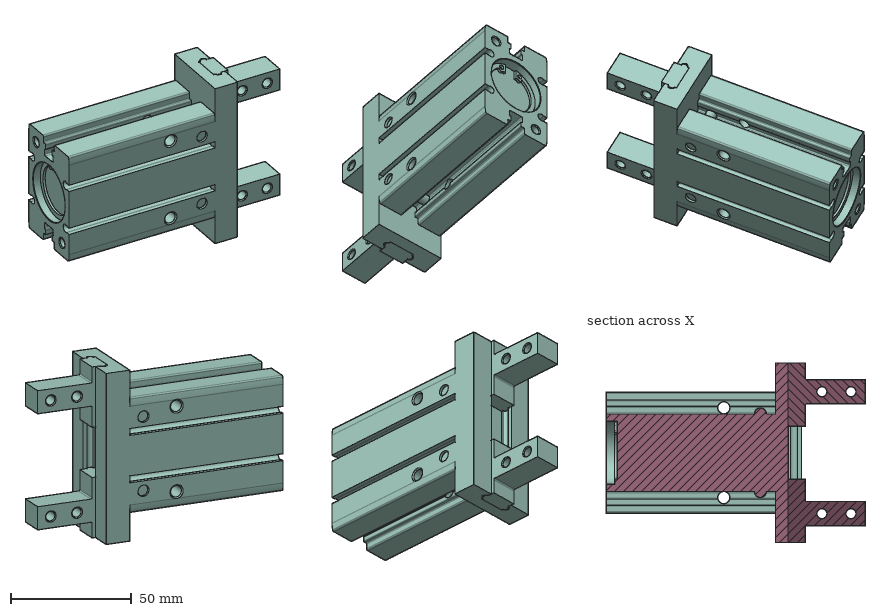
import cadquery as cq
import math


WIDTH = 33.0
BODY_HEIGHT = 50.3
BODY_LENGTH = 70.3
CORNER_RADIUS = 0.8
FLANK_HALF_HEIGHT = 21.5
FLANK_RELIEF = 0.5

PLATE_HEIGHT = 74.6
PLATE_THICKNESS = 10.9
PLATE_EDGE_CHAMFER = 0.2
PLATE_FRONT = BODY_LENGTH + PLATE_THICKNESS

SLOT_MOUTH_WIDTH = 8.7
SLOT_NECK_WIDTH = 5.3
SLOT_INNER_WIDTH = 6.9
SLOT_FLOOR_Z = 16.1
SLOT_INNER_TOP_Z = 19.2
SLOT_NECK_TOP_Z = 21.9
SLOT_MOUTH_FILLET = 0.6
SLOT_FLOOR_FILLET = 0.5
SLOT_STEP_FILLET = 0.3

GROOVE_DIAMETER = 3.7
GROOVE_OPENING = 3.0
GROOVE_FILLET = 0.2
GROOVE_X = 13.6
GROOVE_Z = 10.3

BORE_DIAMETER = 26.0
BORE_CHAMFER = 0.2
RING_DEPTH = 3.5
RING_THICKNESS = 1.1
RING_INNER_DIAMETER = 21.7
RING_GAP = 5.4
EAR_BOTTOM_Z = 8.3
EAR_TIP_START_X = 3.9
EAR_TIP = (5.0, 7.6)
EAR_TIP_END = (5.9, 8.9)
EAR_OUTER_CORNER = (7.0, 10.2)
EAR_TOP_Z = 12.4
EAR_HOLE_DIAMETER = 2.0
EAR_HOLE_X = 4.7
EAR_HOLE_Z = 10.2

REAR_HOLE_DIAMETER = 4.1
REAR_HOLE_MOUTH = 5.0
REAR_HOLE_DEPTH = 10.8
REAR_HOLE_X = 10.5
REAR_HOLE_Z = 19.0

MOUNT_HOLE_DIAMETER = 5.0
MOUNT_HOLE_MOUTH = 6.0
MOUNT_HOLE_Y = 48.9
MOUNT_HOLE_Z = 18.6

PIN_DIAMETER = 5.0
PIN_Y = 64.0
PIN_Z = 16.1
PIN_RECESS = 1.2

FINGER_WIDTH = 12.1
FINGER_BASE_LENGTH = 26.4
FINGER_HEIGHT = 10.1
FINGER_TIP_Y = 107.6
FINGER_Z = 25.3
SHOULDER_Y = 82.7
SHOULDER_FILLET = 0.5
SLOT_BASE_Y = 75.7
RAIL_Y = 77.9
RAIL_RADIUS = 1.5
RAIL_X = 5.5
RACE_RADIUS = 1.5
FINGER_HOLE_DIAMETER = 4.1
FINGER_HOLE_MOUTH = 5.0
FINGER_HOLE_YS = (89.6, 101.6)


def box(x_range, y_range, z_range):
    """Box between the given limits."""
    size = [high - low for low, high in (x_range, y_range, z_range)]
    corner = (x_range[0], y_range[0], z_range[0])
    return cq.Workplane("XY").box(*size, centered=False).translate(corner)


def cylinder_y(diameter, start_y, length, x=0, z=0):
    """Cylinder along +Y."""
    solid = cq.Solid.makeCylinder(diameter / 2, length, cq.Vector(x, start_y, z), cq.Vector(0, 1, 0))
    return cq.Workplane(solid)


def cylinder_x(diameter, length, y, z):
    """Cylinder along X, centred on X = 0."""
    start = cq.Vector(-length / 2, y, z)
    return cq.Workplane(cq.Solid.makeCylinder(diameter / 2, length, start, cq.Vector(1, 0, 0)))


def cone(start_diameter, end_diameter, length, start, direction):
    """Cone from `start` along `direction`."""
    radii = (start_diameter / 2, end_diameter / 2)
    return cq.Workplane(cq.Solid.makeCone(*radii, length, cq.Vector(*start), cq.Vector(*direction)))


def cross_hole(diameter, mouth, width, y, z):
    """Through hole along X with a 45 degree chamfer at both ends."""
    depth = (mouth - diameter) / 2
    hole = cylinder_x(diameter, width, y, z)
    for side in (-1, 1):
        hole = hole.union(cone(mouth, diameter, depth, (side * width / 2, y, z), (-side, 0, 0)))
    return hole


def fillet_edge(solid, x, z, radius):
    """Round the edge along the body length that runs through (x, z)."""
    edge = cq.selectors.NearestToPointSelector((x, BODY_LENGTH / 2, z))
    return solid.edges("|Y").edges(edge).fillet(radius)


def rear_profile():
    """Sketch plane on the rear face; extruding by a negative distance goes along +Y."""
    return cq.Workplane("XZ")


def housing_block():
    half_w = WIDTH / 2
    half_h = BODY_HEIGHT / 2
    corner_x = half_w - FLANK_RELIEF
    rise = half_h - FLANK_HALF_HEIGHT
    flank_radius = (rise**2 + FLANK_RELIEF**2) / (2 * FLANK_RELIEF)
    mid_rise = rise / 2
    mid_x = half_w - flank_radius + math.sqrt(flank_radius**2 - mid_rise**2)
    mid_z = FLANK_HALF_HEIGHT + mid_rise
    block = (
        rear_profile()
        .moveTo(half_w, -FLANK_HALF_HEIGHT)
        .lineTo(half_w, FLANK_HALF_HEIGHT)
        .threePointArc((mid_x, mid_z), (corner_x, half_h))
        .lineTo(-corner_x, half_h)
        .threePointArc((-mid_x, mid_z), (-half_w, FLANK_HALF_HEIGHT))
        .lineTo(-half_w, -FLANK_HALF_HEIGHT)
        .threePointArc((-mid_x, -mid_z), (-corner_x, -half_h))
        .lineTo(corner_x, -half_h)
        .threePointArc((mid_x, -mid_z), (half_w, -FLANK_HALF_HEIGHT))
        .close()
        .extrude(-BODY_LENGTH)
    )
    for x in (-corner_x, corner_x):
        for z in (-half_h, half_h):
            block = fillet_edge(block, x, z, CORNER_RADIUS)
    return block


def t_slot():
    """Cutter for the slot in the top face."""
    top = BODY_HEIGHT / 2
    mouth = SLOT_MOUTH_WIDTH / 2
    neck = SLOT_NECK_WIDTH / 2
    length = (0, BODY_LENGTH)
    inner_half = SLOT_INNER_WIDTH / 2
    inner = box((-inner_half, inner_half), length, (SLOT_FLOOR_Z, SLOT_INNER_TOP_Z))
    inner = inner.edges("|Y and <Z").fillet(SLOT_FLOOR_FILLET)
    slot = inner.union(box((-neck, neck), length, (SLOT_FLOOR_Z, SLOT_NECK_TOP_Z)))
    slot = slot.union(box((-mouth, mouth), length, (SLOT_NECK_TOP_Z, top)))
    steps = [
        (mouth, SLOT_NECK_TOP_Z),
        (neck, SLOT_NECK_TOP_Z),
        (neck, SLOT_INNER_TOP_Z),
        (inner_half, SLOT_INNER_TOP_Z),
    ]
    for x, z in steps:
        for side in (-1, 1):
            slot = fillet_edge(slot, side * x, z, SLOT_STEP_FILLET)
    r = SLOT_MOUTH_FILLET
    bend = r * (1 - math.sqrt(0.5))
    flare = (
        rear_profile()
        .moveTo(-mouth, top - r)
        .threePointArc((-mouth - bend, top - bend), (-mouth - r, top))
        .lineTo(mouth + r, top)
        .threePointArc((mouth + bend, top - bend), (mouth, top - r))
        .close()
        .extrude(-BODY_LENGTH)
    )
    return slot.union(flare)


def sensor_groove(side, z):
    """Cutter for a keyhole groove in the side face."""
    opening = box((GROOVE_X, WIDTH / 2), (0, BODY_LENGTH), (-GROOVE_OPENING / 2, GROOVE_OPENING / 2))
    groove = cylinder_y(GROOVE_DIAMETER, 0, BODY_LENGTH, GROOVE_X).union(opening)
    corner_x = GROOVE_X + math.sqrt(GROOVE_DIAMETER**2 - GROOVE_OPENING**2) / 2
    for corner_z in (-GROOVE_OPENING / 2, GROOVE_OPENING / 2):
        groove = fillet_edge(groove, corner_x, corner_z, GROOVE_FILLET)
    if side < 0:
        groove = groove.mirror("YZ")
    return groove.translate((0, 0, z))


def bore():
    """Cutter for the rear end of the piston bore, down to the end cap."""
    mouth = BORE_DIAMETER + 2 * BORE_CHAMFER
    hole = cylinder_y(BORE_DIAMETER, 0, RING_DEPTH + RING_THICKNESS)
    return hole.union(cone(mouth, BORE_DIAMETER, BORE_CHAMFER, (0, 0, 0), (0, 1, 0)))


def retaining_ring():
    """Open ring with two pierced ears, lying on the end cap."""
    ring = rear_profile().circle(BORE_DIAMETER / 2).circle(RING_INNER_DIAMETER / 2).extrude(-RING_THICKNESS)
    gap = RING_GAP / 2
    ear = (
        rear_profile()
        .moveTo(gap, EAR_BOTTOM_Z)
        .lineTo(EAR_TIP_START_X, EAR_BOTTOM_Z)
        .threePointArc(EAR_TIP, EAR_TIP_END)
        .lineTo(*EAR_OUTER_CORNER)
        .lineTo(gap, EAR_TOP_Z)
        .close()
        .extrude(-RING_THICKNESS)
    )
    ring = ring.union(ear).union(ear.mirror("YZ"))
    ring = ring.cut(box((-gap, gap), (0, RING_THICKNESS), (0, BORE_DIAMETER)))
    for x in (-EAR_HOLE_X, EAR_HOLE_X):
        ring = ring.cut(cylinder_y(EAR_HOLE_DIAMETER, 0, RING_THICKNESS, x, EAR_HOLE_Z))
    return ring.translate((0, RING_DEPTH, 0))


def rear_hole(x, z):
    depth = (REAR_HOLE_MOUTH - REAR_HOLE_DIAMETER) / 2
    hole = cylinder_y(REAR_HOLE_DIAMETER, 0, REAR_HOLE_DEPTH, x, z)
    return hole.union(cone(REAR_HOLE_MOUTH, REAR_HOLE_DIAMETER, depth, (x, 0, z), (0, 1, 0)))


def rail_section(top_y, side_x, side_radius, z_range):
    """Bar along Z with a round bulge on both sides."""
    half = FINGER_WIDTH / 2
    bar = box((-half, half), (SLOT_BASE_Y, top_y), z_range)
    length = z_range[1] - z_range[0]
    for x in (-side_x, side_x):
        bulge = cq.Workplane("XY", origin=(x, RAIL_Y, z_range[0])).circle(side_radius).extrude(length)
        bar = bar.union(bulge)
    return bar


def make_housing():
    half_w = WIDTH / 2
    half_plate = PLATE_HEIGHT / 2
    body = housing_block()

    for slot in (t_slot(), t_slot().mirror("XY")):
        body = body.cut(slot)
    for side in (-1, 1):
        for z in (-GROOVE_Z, GROOVE_Z):
            body = body.cut(sensor_groove(side, z))
    for z in (-MOUNT_HOLE_Z, MOUNT_HOLE_Z):
        body = body.cut(cross_hole(MOUNT_HOLE_DIAMETER, MOUNT_HOLE_MOUTH, WIDTH, MOUNT_HOLE_Y, z))
    for z in (-PIN_Z, PIN_Z):
        body = body.cut(cylinder_x(PIN_DIAMETER, WIDTH, PIN_Y, z))
        body = body.union(cylinder_x(PIN_DIAMETER, WIDTH - 2 * PIN_RECESS, PIN_Y, z))
    for side in (-1, 1):
        body = body.cut(rear_hole(side * REAR_HOLE_X, -side * REAR_HOLE_Z))
    body = body.cut(bore()).union(retaining_ring())

    plate = box((-half_w, half_w), (BODY_LENGTH, PLATE_FRONT), (-half_plate, half_plate))
    plate = plate.edges("|Z and >Y").chamfer(PLATE_EDGE_CHAMFER)
    plate = plate.cut(rail_section(PLATE_FRONT, RAIL_X, RAIL_RADIUS, (-half_plate, half_plate)))
    race_end = half_plate - FINGER_BASE_LENGTH
    for z_range in ((race_end, half_plate), (-half_plate, -race_end)):
        plate = plate.cut(rail_section(PLATE_FRONT, FINGER_WIDTH / 2, RACE_RADIUS, z_range))
    return body.union(plate)


def make_finger():
    """Upper finger."""
    half = FINGER_WIDTH / 2
    outer_z = PLATE_HEIGHT / 2
    base = rail_section(SHOULDER_Y, RAIL_X, RAIL_RADIUS, (outer_z - FINGER_BASE_LENGTH, outer_z))
    z_range = (FINGER_Z - FINGER_HEIGHT / 2, FINGER_Z + FINGER_HEIGHT / 2)
    finger = base.union(box((-half, half), (SLOT_BASE_Y, FINGER_TIP_Y), z_range))
    for z in z_range:
        root = cq.selectors.NearestToPointSelector((0, SHOULDER_Y, z))
        finger = finger.edges("|X").edges(root).fillet(SHOULDER_FILLET)
    for y in FINGER_HOLE_YS:
        finger = finger.cut(cross_hole(FINGER_HOLE_DIAMETER, FINGER_HOLE_MOUTH, FINGER_WIDTH, y, FINGER_Z))
    return finger


housing = make_housing()
upper_finger = make_finger()
fingers = [upper_finger, upper_finger.mirror("XY")]

result = cq.Compound.makeCompound([housing.val(), *[finger.val() for finger in fingers]])